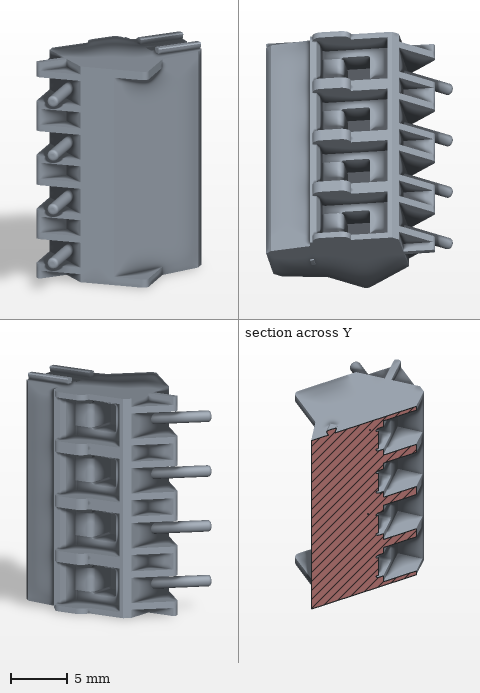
import cadquery as cq
import math

ROOT2 = math.sqrt(2)

POLES = 4
PITCH = 5.0
HEIGHT = POLES * PITCH
WIDTH = 12.8
DEPTH = 11.91

BASE_WIDTH = 10.5
LEFT_HEIGHT = 5.03
CORNER_RADIUS = 0.5
RIDGE_REACH = 10.96
NECK_BACK = (5.87, 9.76)
HEAD_BACK_X = 8.85
HEAD_TIP_BACK_X = 9.55
HEAD_TIP_RIGHT_Y = 8.73
HEAD_RIGHT_Y = 7.71
NECK_RIGHT_Y = 4.45
FLANGE = 0.77

TAB_RADIUS = 0.83
TAB_START = 7.24
TAB_END = 10.71

POCKET_HEIGHT = 4.0
POCKET_NEAR = 3.95
POCKET_FAR = 10.15
LEAD_IN_FAR = 10.35
LEAD_IN_DEPTH = 0.7
LEDGE_DEPTH = 2.2
LEDGE_WIDTH = 0.19
POCKET_DEPTH = 2.32

HOLE_HEIGHT = 2.6
HOLE_LENGTH = 2.6
HOLE_DEPTH = 2.77
HOLE_FAR = 8.48
BUTTON_HEIGHT = 2.15
BUTTON_NEAR = 8.27
BUTTON_RISE = 0.29
BUTTON_RADIUS = 0.54
BUTTON_END_RADIUS = 0.17

NOTCH_LEG = 4.25
PIN_NOTCH_HEIGHT = 2.32
RIB_NOTCH_HEIGHT = 1.49
RIB_WIDTH = 0.62

PIN_DIAMETER = 1.03
PIN_X = 2.73
PIN_REACH = 3.5
PIN_ROOT_Y = 2.48
PIN_TIP_RADIUS = 0.29

HEAD_AXIS = -0.7
LOCK_START = 10.96
HEAD_TIP_REACH = (WIDTH + HEAD_TIP_RIGHT_Y) / ROOT2
RAIL_OFFSET = 1.74
RAIL_HEIGHT = 0.55
RAIL_CHAMFER = 0.1
RAIL_WIDTH = 0.75
RAIL_BASE_WIDTH = 0.5
GROOVE_WIDTH = 1.28
GROOVE_DEPTH = 0.1
BUMP_WIDTH = 1.08
BUMP_LENGTH = 0.33
BUMP_CENTER = 11.33
BUMP_HEIGHT = 0.1

ENTRY_NORMAL = cq.Vector(-1, 1, 0)
ENTRY_V = LEFT_HEIGHT / ROOT2
FLOOR_V = ENTRY_V - POCKET_DEPTH


def diagonal_plane(z):
    """XY plane turned 45 degrees, so local x is U and local y is V."""
    return cq.Workplane(cq.Plane(origin=(0, 0, z), xDir=(1, 1, 0), normal=(0, 0, 1)))


def diagonal_box(u_range, v_range, z_range):
    """Box with sides along U, V and Z."""
    length = u_range[1] - u_range[0]
    width = v_range[1] - v_range[0]
    height = z_range[1] - z_range[0]
    base = diagonal_plane(z_range[0]).center(u_range[0], v_range[0])
    return base.rect(length, width, centered=False).extrude(height)


def rounded_prism(u_range, v_range, z_range, start_radius, end_radius):
    """Diagonal box with its two outer edges along Z rounded."""
    start, end = u_range
    base, top = v_range
    start_sag = start_radius * (1 - 1 / ROOT2)
    end_sag = end_radius * (1 - 1 / ROOT2)
    return (
        diagonal_plane(z_range[0])
        .moveTo(start, base)
        .lineTo(start, top - start_radius)
        .threePointArc((start + start_sag, top - start_sag), (start + start_radius, top))
        .lineTo(end - end_radius, top)
        .threePointArc((end - end_sag, top - end_sag), (end, top - end_radius))
        .lineTo(end, base)
        .close()
        .extrude(z_range[1] - z_range[0])
    )


def centered_range(center, size):
    return (center - size / 2, center + size / 2)


def housing():
    """Full-height body with the head, without the tabs."""
    ridge_shift = RIDGE_REACH / ROOT2
    ridge = (ridge_shift - LEFT_HEIGHT / 2, ridge_shift + LEFT_HEIGHT / 2)
    outline = [
        (0, 0),
        (BASE_WIDTH, 0),
        (BASE_WIDTH, NECK_RIGHT_Y),
        (WIDTH, HEAD_RIGHT_Y),
        (WIDTH, HEAD_TIP_RIGHT_Y),
        (HEAD_TIP_BACK_X, DEPTH),
        (HEAD_BACK_X, DEPTH),
        NECK_BACK,
        ridge,
        (0, LEFT_HEIGHT),
    ]
    body = cq.Workplane("XY").polyline(outline).close().extrude(HEIGHT)
    return body.edges("|Z and <Y").fillet(CORNER_RADIUS)


def tabs():
    """Round-ended strip along the entry face; the pockets later divide it into tabs."""
    return rounded_prism(
        (TAB_START, TAB_END),
        (ENTRY_V - TAB_RADIUS, ENTRY_V + TAB_RADIUS),
        (0, HEIGHT),
        TAB_RADIUS,
        TAB_RADIUS,
    )


def slanted_relief():
    """Wedge that continues the slanted head side down to the base between the flanges."""
    run_per_rise = (WIDTH - BASE_WIDTH) / (HEAD_RIGHT_Y - NECK_RIGHT_Y)
    base_x = BASE_WIDTH - NECK_RIGHT_Y * run_per_rise
    return (
        cq.Workplane("XY", origin=(0, 0, FLANGE))
        .polyline([(base_x, 0), (BASE_WIDTH, 0), (BASE_WIDTH, NECK_RIGHT_Y)])
        .close()
        .extrude(HEIGHT - 2 * FLANGE)
    )


def corner_notch(center_z, height):
    """Triangular notch across the lower left corner."""
    return (
        cq.Workplane("XY", origin=(0, 0, center_z - height / 2))
        .polyline([(0, 0), (NOTCH_LEG, 0), (0, NOTCH_LEG)])
        .close()
        .extrude(height)
    )


def rib_notch(center_z):
    """Corner notch that leaves a diagonal rib standing out to the corner."""
    rib = diagonal_box(
        (0, NOTCH_LEG),
        centered_range(0, RIB_WIDTH),
        centered_range(center_z, RIB_NOTCH_HEIGHT),
    )
    return corner_notch(center_z, RIB_NOTCH_HEIGHT).cut(rib)


def wire_pocket(center_z):
    """Deep pocket in the entry face with a sloped lead-in and a narrow ledge at its far end."""
    above_tabs_v = ENTRY_V + 2 * TAB_RADIUS
    ledge_v = ENTRY_V - LEDGE_DEPTH
    profile = [
        (POCKET_NEAR, above_tabs_v),
        (POCKET_NEAR, FLOOR_V),
        (POCKET_FAR - LEDGE_WIDTH, FLOOR_V),
        (POCKET_FAR - LEDGE_WIDTH, ledge_v),
        (POCKET_FAR, ledge_v),
        (POCKET_FAR, ENTRY_V - LEAD_IN_DEPTH),
        (LEAD_IN_FAR, ENTRY_V),
        (TAB_END, ENTRY_V),
        (TAB_END, above_tabs_v),
    ]
    bottom_z = center_z - POCKET_HEIGHT / 2
    return diagonal_plane(bottom_z).polyline(profile).close().extrude(POCKET_HEIGHT)


def wire_hole(center_z):
    """Blind hole with rounded corners in the pocket floor; the release button closes its far side."""
    hole = diagonal_box(
        (HOLE_FAR - HOLE_LENGTH, HOLE_FAR),
        (FLOOR_V - HOLE_DEPTH, FLOOR_V),
        centered_range(center_z, HOLE_HEIGHT),
    )
    corner_radius = (HOLE_HEIGHT - BUTTON_HEIGHT) / 2
    return hole.edges(cq.selectors.ParallelDirSelector(ENTRY_NORMAL)).fillet(corner_radius)


def release_button(center_z):
    """Button reaching down one side of the wire hole, with its two upper ends rounded."""
    return rounded_prism(
        (BUTTON_NEAR, POCKET_FAR),
        (FLOOR_V - HOLE_DEPTH, FLOOR_V + BUTTON_RISE),
        centered_range(center_z, BUTTON_HEIGHT),
        BUTTON_RADIUS,
        BUTTON_END_RADIUS,
    )


def button_seat(center_z):
    """Clearance in the pocket floor that exposes the rounded side of the button."""
    return diagonal_box(
        (BUTTON_NEAR, BUTTON_NEAR + BUTTON_RADIUS),
        (FLOOR_V - BUTTON_RADIUS, FLOOR_V),
        centered_range(center_z, BUTTON_HEIGHT),
    )


def pin(center_z):
    length = PIN_ROOT_Y + PIN_REACH
    return (
        cq.Workplane("XZ", origin=(PIN_X, PIN_ROOT_Y, center_z))
        .circle(PIN_DIAMETER / 2)
        .extrude(length)
        .faces("<Y")
        .edges()
        .fillet(PIN_TIP_RADIUS)
    )


def rail(center_v):
    """Undercut rail on the top face with chamfered upper edges."""
    half_base = RAIL_BASE_WIDTH / 2
    half_width = RAIL_WIDTH / 2
    half_top = half_width - RAIL_CHAMFER
    shoulder = RAIL_HEIGHT - RAIL_CHAMFER
    profile = [
        (-half_base, 0),
        (half_base, 0),
        (half_width, shoulder),
        (half_top, RAIL_HEIGHT),
        (-half_top, RAIL_HEIGHT),
        (-half_width, shoulder),
    ]
    start = ((LOCK_START - center_v) / ROOT2, (LOCK_START + center_v) / ROOT2, HEIGHT)
    section = cq.Plane(origin=start, xDir=(-1, 1, 0), normal=(1, 1, 0))
    return cq.Workplane(section).polyline(profile).close().extrude(HEAD_TIP_REACH - LOCK_START)


result = housing().union(tabs()).cut(slanted_relief())

for pole in range(POLES):
    pole_z = (pole + 0.5) * PITCH
    result = result.cut(wire_pocket(pole_z))
    result = result.cut(wire_hole(pole_z))
    result = result.cut(button_seat(pole_z)).union(release_button(pole_z))
    result = result.cut(corner_notch(pole_z, PIN_NOTCH_HEIGHT)).union(pin(pole_z))

for boundary in range(POLES + 1):
    result = result.cut(rib_notch(boundary * PITCH))

for side in (-1, 1):
    result = result.union(rail(HEAD_AXIS + side * RAIL_OFFSET))

groove = diagonal_box(
    (LOCK_START, HEAD_TIP_REACH),
    centered_range(HEAD_AXIS, GROOVE_WIDTH),
    (HEIGHT - GROOVE_DEPTH, HEIGHT),
)
bump = diagonal_box(
    centered_range(BUMP_CENTER, BUMP_LENGTH),
    centered_range(HEAD_AXIS, BUMP_WIDTH),
    (-BUMP_HEIGHT, 0),
)
result = result.cut(groove).union(bump)